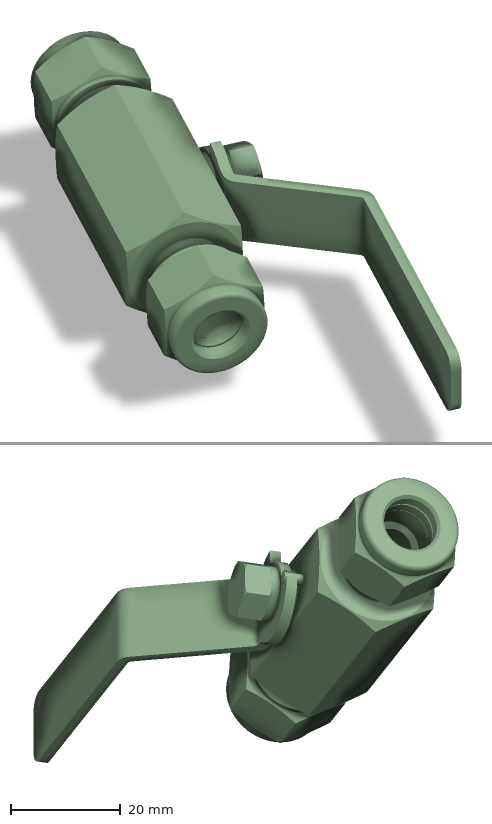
import cadquery as cq
import math


OVERALL_LENGTH = 106.8

BODY_ACROSS_FLATS = 22.2
BODY_HALF_LENGTH = 20.0
BODY_END_CIRCLE_D = 21.8
NECK_D = 14.1
NECK_ROOT_FILLET = 0.3
SHOULDER_D = 15.9
SHOULDER_WIDTH = 1.3
SHOULDER_CONE = 0.6
BORE_D = 7.2
HEX_CHAMFER_SLOPE = math.tan(math.radians(30))

FITTING_HALF_SPAN = 78.7 / 2
NUT_ACROSS_FLATS = 19.1
NUT_D = 18.5
NUT_LENGTH = 14.8
NUT_FRONT_COLLAR = 3.0
NUT_REAR_COLLAR = 1.0
NUT_FRONT_FILLET = 0.7
NUT_WALL = 2.8
STUB_GAP = 0.4
TUBE_HOLE_D = 10.1
TUBE_HOLE_CHAMFER = 0.5
TUBE_SEAT_D = 10.0
SOCKET_MOUTH_END = 5.5
SOCKET_END = 10.7

STEM_X = -2.5
STEM_D = 10.0
STEM_HEX_ACROSS_FLATS = 9.8
STEM_HEX_END_CIRCLE_D = 10.2
STEM_SHANK_LENGTH = 5.0
STEM_LENGTH = 10.0

HANDLE_THICKNESS = 2.0
HANDLE_GAP = 1.4
HANDLE_TOP_Y = 36.5
HANDLE_TIP_X = OVERALL_LENGTH - FITTING_HALF_SPAN
ARM_WIDTH = 13.9
TIP_CORNER_R = 3.0
DISC_R = 9.0
DISC_ARM_FILLET = 5.0
HUB_D = 12.0
STOP_OFFSET = 0.4
STOP_FILLET = 1.01
BEND_START = 7.4
BEND_ANGLE = math.radians(60)
BEND_INNER_R = 1.0

PIN_D = 2.0
PIN_ORBIT_R = 7.5
PIN_ABOVE_HANDLE = 0.2

BODY_TOP_Y = BODY_ACROSS_FLATS / 2
HANDLE_BOTTOM_Y = BODY_TOP_Y + HANDLE_GAP
NUT_INNER_END = FITTING_HALF_SPAN - NUT_LENGTH


def revolve_about_x(points):
    """Solid of revolution about X from (x, radius) points."""
    return cq.Workplane("XY").polyline(points).close().revolve(360, (0, 0, 0), (1, 0, 0))


def cylinder_x(diameter, start, end):
    return cq.Workplane("YZ", origin=(start, 0, 0)).circle(diameter / 2).extrude(end - start)


def cylinder_y(diameter, x, start, end):
    return cq.Workplane("XZ", origin=(x, start, 0)).circle(diameter / 2).extrude(start - end)


def chamfered_hex(across_flats, start, end, end_circle_d):
    """Hexagonal bar along X, corners on +Z and -Z, with 30 degree conical end chamfers."""
    corner_r = across_flats / math.sqrt(3)
    corner_angles = [math.radians(30 + 60 * i) for i in range(6)]
    corners = [(corner_r * math.cos(angle), corner_r * math.sin(angle)) for angle in corner_angles]
    bar = cq.Workplane("YZ", origin=(start, 0, 0)).polyline(corners).close().extrude(end - start)
    end_r = end_circle_d / 2
    envelope_r = 2 * corner_r
    cone = (envelope_r - end_r) * HEX_CHAMFER_SLOPE
    envelope = revolve_about_x([
        (start, 0),
        (start, end_r),
        (start + cone, envelope_r),
        (end - cone, envelope_r),
        (end, end_r),
        (end, 0),
    ])
    return bar.intersect(envelope)


def make_stop_pin():
    top = HANDLE_BOTTOM_Y + HANDLE_THICKNESS + PIN_ABOVE_HANDLE
    return cylinder_y(PIN_D, STEM_X - PIN_ORBIT_R, BODY_TOP_Y, top)


def make_end_fitting():
    """Turned +X end of the body: neck, shoulder and the stub that fills the nut."""
    shoulder_start = NUT_INNER_END - SHOULDER_WIDTH
    neck_r = NECK_D / 2
    shoulder_r = SHOULDER_D / 2
    stub_end = FITTING_HALF_SPAN - NUT_WALL - STUB_GAP
    fitting = revolve_about_x([
        (0, 0),
        (0, neck_r),
        (shoulder_start - SHOULDER_CONE, neck_r),
        (shoulder_start, shoulder_r),
        (NUT_INNER_END, shoulder_r),
        (NUT_INNER_END, neck_r),
        (stub_end, neck_r),
        (stub_end, 0),
    ])
    mouth = cylinder_x(TUBE_HOLE_D, FITTING_HALF_SPAN - SOCKET_MOUTH_END, stub_end)
    seat = cylinder_x(TUBE_SEAT_D, FITTING_HALF_SPAN - SOCKET_END, stub_end)
    return fitting.cut(mouth).cut(seat)


def make_neck_root():
    """Ring with a concave fillet where the +X neck leaves the hexagon."""
    neck_r = NECK_D / 2
    face = BODY_HALF_LENGTH
    fillet_top = neck_r + NECK_ROOT_FILLET
    return (
        cq.Workplane("XY")
        .moveTo(face, neck_r - NECK_ROOT_FILLET)
        .lineTo(face, fillet_top)
        .radiusArc((face + NECK_ROOT_FILLET, neck_r), -NECK_ROOT_FILLET)
        .lineTo(face + NECK_ROOT_FILLET, neck_r - NECK_ROOT_FILLET)
        .close()
        .revolve(360, (0, 0, 0), (1, 0, 0))
    )


def make_body():
    body = chamfered_hex(BODY_ACROSS_FLATS, -BODY_HALF_LENGTH, BODY_HALF_LENGTH, BODY_END_CIRCLE_D)
    fitting = make_end_fitting()
    body = body.union(fitting).union(fitting.mirror("YZ"))
    body = body.union(make_neck_root()).union(make_neck_root().mirror("YZ"))
    body = body.cut(cylinder_x(BORE_D, -FITTING_HALF_SPAN, FITTING_HALF_SPAN))
    return body.union(make_stop_pin())


def make_nut():
    """Fitting nut at the +X end, with a cavity for the stub of the body."""
    nut = cylinder_x(NUT_D, NUT_INNER_END, FITTING_HALF_SPAN).faces(">X").edges().fillet(NUT_FRONT_FILLET)
    nut = nut.union(chamfered_hex(
        NUT_ACROSS_FLATS,
        NUT_INNER_END + NUT_REAR_COLLAR,
        FITTING_HALF_SPAN - NUT_FRONT_COLLAR,
        NUT_D,
    ))
    nut = nut.cut(cylinder_x(NECK_D, NUT_INNER_END, FITTING_HALF_SPAN - NUT_WALL))
    nut = nut.cut(cylinder_x(TUBE_HOLE_D, NUT_INNER_END, FITTING_HALF_SPAN))
    hole_rim = nut.faces(">X").edges(cq.selectors.RadiusNthSelector(0))
    return hole_rim.chamfer(TUBE_HOLE_CHAMFER)


def make_stem():
    """Round shank with a hexagonal head, built along X and then turned to stand along Y."""
    shank = cylinder_x(STEM_D, 0, STEM_SHANK_LENGTH)
    head = chamfered_hex(STEM_HEX_ACROSS_FLATS, STEM_SHANK_LENGTH, STEM_LENGTH, STEM_HEX_END_CIRCLE_D)
    return shank.union(head).rotate((0, 0, 0), (0, 0, 1), 90).translate((STEM_X, BODY_TOP_Y, 0))


def make_handle_strip():
    """Cranked lever of constant thickness, starting at the stem axis."""
    outer_r = BEND_INNER_R + HANDLE_THICKNESS
    low = HANDLE_BOTTOM_Y
    low_top = low + HANDLE_THICKNESS
    high = HANDLE_TOP_Y
    high_bottom = high - HANDLE_THICKNESS
    low_centre = (STEM_X + BEND_START, low_top + BEND_INNER_R)
    high_centre_y = high_bottom - BEND_INNER_R
    bend_r_sum = BEND_INNER_R + outer_r
    rise = high_centre_y - low_centre[1] + bend_r_sum * math.cos(BEND_ANGLE)
    run = rise / math.tan(BEND_ANGLE) + bend_r_sum * math.sin(BEND_ANGLE)
    high_centre = (low_centre[0] + run, high_centre_y)

    def on_low_bend(radius, angle):
        return low_centre[0] + radius * math.sin(angle), low_centre[1] - radius * math.cos(angle)

    def on_high_bend(radius, angle):
        return high_centre[0] - radius * math.sin(angle), high_centre[1] + radius * math.cos(angle)

    half = BEND_ANGLE / 2
    side = (
        cq.Workplane("XY")
        .moveTo(STEM_X, low)
        .lineTo(low_centre[0], low)
        .threePointArc(on_low_bend(outer_r, half), on_low_bend(outer_r, BEND_ANGLE))
        .lineTo(*on_high_bend(BEND_INNER_R, BEND_ANGLE))
        .threePointArc(on_high_bend(BEND_INNER_R, half), (high_centre[0], high_bottom))
        .lineTo(HANDLE_TIP_X, high_bottom)
        .lineTo(HANDLE_TIP_X, high)
        .lineTo(high_centre[0], high)
        .threePointArc(on_high_bend(outer_r, half), on_high_bend(outer_r, BEND_ANGLE))
        .lineTo(*on_low_bend(BEND_INNER_R, BEND_ANGLE))
        .threePointArc(on_low_bend(BEND_INNER_R, half), (low_centre[0], low_top))
        .lineTo(STEM_X, low_top)
        .close()
    )
    strip = side.extrude(ARM_WIDTH / 2, both=True)
    return strip.faces(">X").edges("|Y").fillet(TIP_CORNER_R)


def plate_sketch():
    """Workplane on the underside of the lower plate; local X is X and local Y is Z."""
    return cq.Workplane("XZ", origin=(STEM_X, HANDLE_BOTTOM_Y, 0))


def make_disc_web():
    """Concave webs that blend the handle disc into both edges of the arm."""
    half_width = ARM_WIDTH / 2
    centre_z = half_width + DISC_ARM_FILLET
    reach = DISC_R + DISC_ARM_FILLET
    centre_x = math.sqrt(reach ** 2 - centre_z ** 2)
    touch = (centre_x * DISC_R / reach, centre_z * DISC_R / reach)
    mid_angle = (math.atan2(centre_z, centre_x) + math.pi / 2) / 2
    middle = (
        centre_x - DISC_ARM_FILLET * math.cos(mid_angle),
        centre_z - DISC_ARM_FILLET * math.sin(mid_angle),
    )
    web = (
        plate_sketch()
        .moveTo(0, 0)
        .lineTo(*touch)
        .threePointArc(middle, (centre_x, half_width))
        .lineTo(centre_x, 0)
        .close()
        .extrude(-HANDLE_THICKNESS)
    )
    return web.union(web.mirror("XY"))


def make_stop_notch():
    """Quarter-turn notch outside the hub, in the -X +Z quadrant, with filleted inner corners."""
    size = 2 * DISC_R
    notch = (
        plate_sketch()
        .moveTo(STOP_OFFSET, -STOP_OFFSET)
        .lineTo(STOP_OFFSET, size)
        .lineTo(-size, size)
        .lineTo(-size, -STOP_OFFSET)
        .close()
        .extrude(-HANDLE_THICKNESS)
    )
    hub_r = HUB_D / 2
    hub = plate_sketch().circle(hub_r).extrude(-HANDLE_THICKNESS)
    corner = math.sqrt(hub_r ** 2 - STOP_OFFSET ** 2)
    notch = notch.cut(hub)
    for x, z in ((STOP_OFFSET, corner), (-corner, -STOP_OFFSET)):
        near = (STEM_X + x, HANDLE_BOTTOM_Y + HANDLE_THICKNESS / 2, z)
        notch = notch.edges(cq.selectors.NearestToPointSelector(near)).fillet(STOP_FILLET)
    return notch


def make_handle():
    disc = plate_sketch().circle(DISC_R).extrude(-HANDLE_THICKNESS)
    handle = make_handle_strip().union(disc).union(make_disc_web())
    handle = handle.cut(make_stop_notch())
    handle = handle.cut(plate_sketch().circle(STEM_D / 2).extrude(-HANDLE_THICKNESS))
    return handle.cut(make_stop_pin())


body = make_body()
nuts = []
for turn in (0, 180):
    nuts.append(make_nut().rotate((0, 0, 0), (0, 0, 1), turn))
stem = make_stem()
handle = make_handle()

result = cq.Compound.makeCompound([
    body.solids().val(),
    *[nut.solids().val() for nut in nuts],
    stem.solids().val(),
    handle.solids().val(),
])